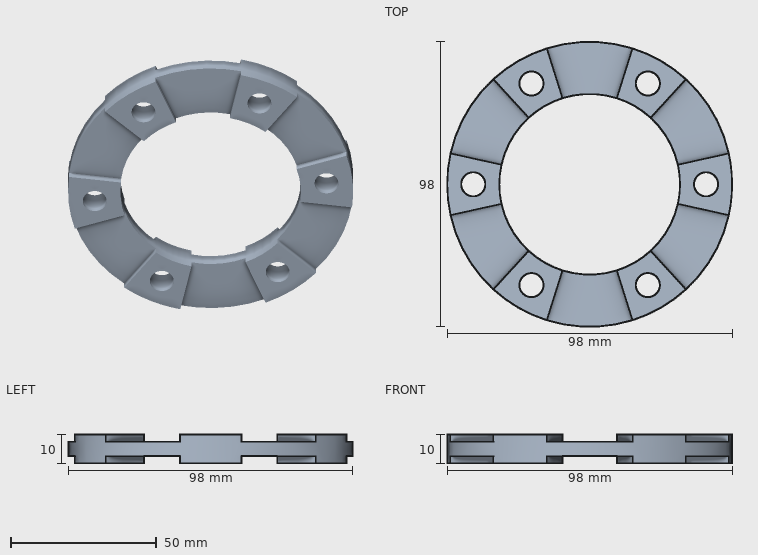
import cadquery as cq
import math

outer_diameter = 98.0
inner_diameter = 62.0
web_thickness = 5.0

pad_count = 6
pad_thickness = 10.0
pad_angle = 25.0

bolt_circle_diameter = 80.0
hole_diameter = 8.2

cutter_overrun = 10.0

pad_pitch = 360 / pad_count
recess_angle = pad_pitch - pad_angle
recess_depth = (pad_thickness - web_thickness) / 2


def point_at(radius, angle):
    """Point in the XY plane at a radius and an angle in degrees from +X."""
    angle_radians = math.radians(angle)
    return (radius * math.cos(angle_radians), radius * math.sin(angle_radians))


def make_ring():
    """Annular ring at full pad thickness, centred on the XY plane."""
    ring = cq.Workplane("XY").circle(outer_diameter / 2).circle(inner_diameter / 2)
    return ring.extrude(pad_thickness / 2, both=True)


def make_recess(center_angle, floor_height):
    """Wedge with radial sides that clears one gap between pads on one face."""
    near_radius = inner_diameter / 2 - cutter_overrun
    far_radius = outer_diameter / 2 + cutter_overrun
    start_angle = center_angle - recess_angle / 2
    end_angle = center_angle + recess_angle / 2
    corners = [
        point_at(near_radius, start_angle),
        point_at(far_radius, start_angle),
        point_at(far_radius, end_angle),
        point_at(near_radius, end_angle),
    ]
    return cq.Workplane("XY", origin=(0, 0, floor_height)).polyline(corners).close().extrude(recess_depth)


def make_holes():
    """Cylinders on the bolt circle that cut through the full pad thickness."""
    return (
        cq.Workplane("XY")
        .polarArray(bolt_circle_diameter / 2, 0, 360, pad_count)
        .circle(hole_diameter / 2)
        .extrude(pad_thickness / 2, both=True)
    )


result = make_ring().cut(make_holes())

for gap_index in range(pad_count):
    gap_angle = (gap_index + 0.5) * pad_pitch
    for recess_bottom in (web_thickness / 2, -pad_thickness / 2):
        result = result.cut(make_recess(gap_angle, recess_bottom))